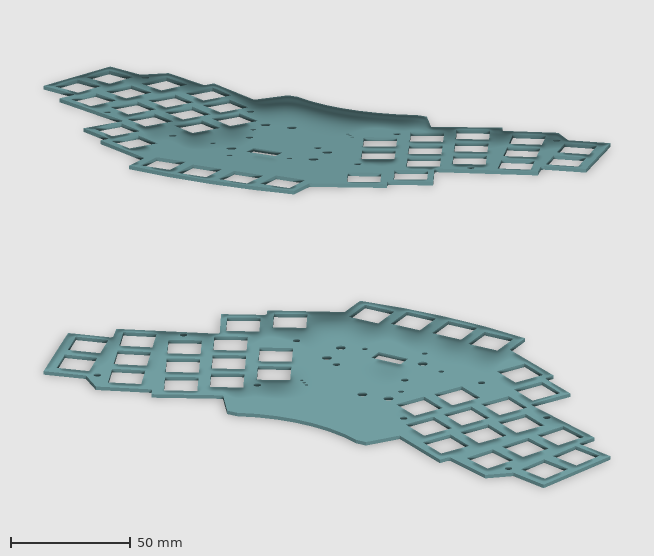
import cadquery as cq
import math

top_y = 67.0
bottom_y = top_y - 134.3
thickness = 1.6
notch_radius = 1.3

key_size = 14.0
key_pitch = 19.0

key_columns = [
    ((112.4, 49.5), 15, 2),
    ((87.3, 51.5), 22, 3),
    ((63.5, 47.2), 27, 3),
    ((48.5, 34.7), 27, 3),
    ((35.0, 18.5), 27, 2),
    ((70.6, -19.0), 27, 1),
    ((55.3, -31.8), 27, 1),
    ((28.7, -54.5), 0, 1),
    ((10.0, -56.8), 0, 1),
]

mount_diameter = 3.0
mount_points = [(98.8, 56.3), (35.2, 32.5), (87.3, 2.5), (16.5, -2.0)]
lower_mount_points = [(-46.0, -15.5), (43.0, -15.5)]

large_diameter = 4.2
large_points = [(-8.0, 19.5), (-19.8, 18.0), (23.2, -6.0), (23.2, -18.0), (-14.9, -20.3)]
small_diameter = 2.4
small_points = [(-20.9, 9.0), (-25.5, -17.2), (13.8, -22.0), (-10.5, -30.0)]

pin_diameter = 1.5
pin_pitch = 2.53
pin_angle = -38
pin_start = (17.2, 22.5)
pin_count = 3

window_length = 14.0
window_height = 6.5
window_y = -18.5

top_arc_end = (28.7, 61.8)
top_arc_middle_y = 55.5
bottom_corner = (39.5, -64.0)

right_end = [(120.5, 63.9), (130.5, 24.5)]
left_end = [(-120.0, 63.9), (-130.0, 24.5)]

upper_notch = (71.5, 58.1)
end_notch = (111.8, 19.5)
wing_notch = (74.5, -5.7)
thumb_notch = (66.7, -32.3)
rounded_notches = [upper_notch, end_notch, wing_notch, thumb_notch]

upper_edge = [
    top_arc_end,
    (33.4, 61.8),
    (42.5, 49.0),
    (69.3, 62.5),
    upper_notch,
    (93.5, top_y),
    (102.7, 59.2),
]
lower_edge = [
    end_notch,
    (115.0, 11.0),
    wing_notch,
    (84.0, -23.7),
    thumb_notch,
    (68.8, -36.5),
    (39.5, -50.8),
    bottom_corner,
]


def mirrored(point):
    return (-point[0], point[1])


def make_plate():
    right_edge = upper_edge + right_end + lower_edge
    left_edge = [mirrored(point) for point in upper_edge] + left_end
    left_edge += [mirrored(point) for point in lower_edge]
    left_edge.reverse()
    plate = (
        cq.Workplane("XY")
        .moveTo(*right_edge[0])
        .polyline(right_edge[1:], includeCurrent=True)
        .threePointArc((0, bottom_y), left_edge[0])
        .polyline(left_edge[1:], includeCurrent=True)
        .threePointArc((0, top_arc_middle_y), right_edge[0])
        .close()
        .extrude(thickness)
    )
    for corner in rounded_notches:
        for x, y in (corner, mirrored(corner)):
            edge = cq.selectors.NearestToPointSelector((x, y, thickness / 2))
            plate = plate.edges("|Z").edges(edge).fillet(notch_radius)
    return plate


def key_cutout(x, y, tilt):
    return (
        cq.Workplane("XY")
        .box(key_size, key_size, thickness, centered=(True, True, False))
        .rotate((0, 0, 0), (0, 0, 1), tilt)
        .translate((x, y, 0))
    )


def cut_keys(plate):
    for (top_key_x, top_key_y), tilt, count in key_columns:
        for row in range(count):
            x = top_key_x + row * key_pitch * math.sin(math.radians(tilt))
            y = top_key_y - row * key_pitch * math.cos(math.radians(tilt))
            plate = plate.cut(key_cutout(x, y, tilt))
            plate = plate.cut(key_cutout(-x, y, -tilt))
    return plate


def cut_holes(plate, points, diameter):
    holes = cq.Workplane("XY").pushPoints(points).circle(diameter / 2).extrude(thickness)
    return plate.cut(holes)


def pin_points():
    step_x = pin_pitch * math.cos(math.radians(pin_angle))
    step_y = pin_pitch * math.sin(math.radians(pin_angle))
    return [(pin_start[0] + i * step_x, pin_start[1] + i * step_y) for i in range(pin_count)]


def cut_window(plate):
    window = (
        cq.Workplane("XY")
        .center(0, window_y)
        .rect(window_length, window_height)
        .extrude(thickness)
    )
    return plate.cut(window)


result = make_plate()
result = cut_keys(result)
result = cut_holes(result, mount_points + [mirrored(point) for point in mount_points], mount_diameter)
result = cut_holes(result, lower_mount_points, mount_diameter)
result = cut_holes(result, large_points, large_diameter)
result = cut_holes(result, small_points, small_diameter)
result = cut_holes(result, pin_points(), pin_diameter)
result = cut_window(result)